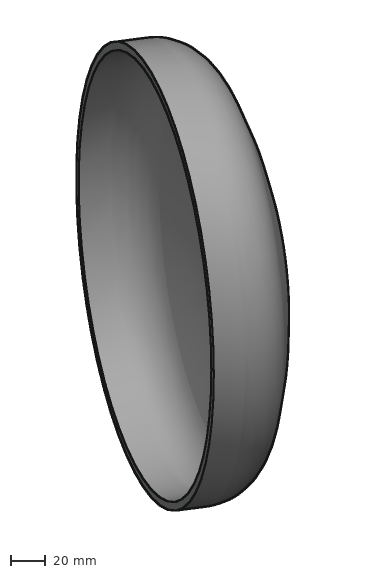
import cadquery as cq
import math

outer_diameter = 273.0
inner_diameter = 263.0
height = 74.5
crown_inner_radius = 273.0
knuckle_inner_radius = 27.3

outer_radius = outer_diameter / 2
inner_radius = inner_diameter / 2
wall = outer_radius - inner_radius
crown_outer_radius = crown_inner_radius + wall
knuckle_outer_radius = knuckle_inner_radius + wall

crown_center_y = height - crown_outer_radius
knuckle_center_x = inner_radius - knuckle_inner_radius
center_distance = crown_inner_radius - knuckle_inner_radius
tangent_angle = math.asin(knuckle_center_x / center_distance)
knuckle_center_y = crown_center_y + center_distance * math.cos(tangent_angle)


def crown_point(radius, angle):
    """Point on a crown arc, at an angle from the axis."""
    return (radius * math.sin(angle), crown_center_y + radius * math.cos(angle))


def knuckle_middle(radius):
    """Point halfway along a knuckle arc, between the skirt and the crown."""
    angle = (tangent_angle + math.pi / 2) / 2
    return (
        knuckle_center_x + radius * math.sin(angle),
        knuckle_center_y + radius * math.cos(angle),
    )


section = (
    cq.Workplane("XY")
    .moveTo(inner_radius, 0)
    .lineTo(outer_radius, 0)
    .lineTo(outer_radius, knuckle_center_y)
    .threePointArc(knuckle_middle(knuckle_outer_radius), crown_point(crown_outer_radius, tangent_angle))
    .threePointArc(crown_point(crown_outer_radius, tangent_angle / 2), crown_point(crown_outer_radius, 0))
    .lineTo(*crown_point(crown_inner_radius, 0))
    .threePointArc(
        crown_point(crown_inner_radius, tangent_angle / 2),
        crown_point(crown_inner_radius, tangent_angle),
    )
    .threePointArc(knuckle_middle(knuckle_inner_radius), (inner_radius, knuckle_center_y))
    .close()
)

result = section.revolve(360, (0, 0, 0), (0, 1, 0))